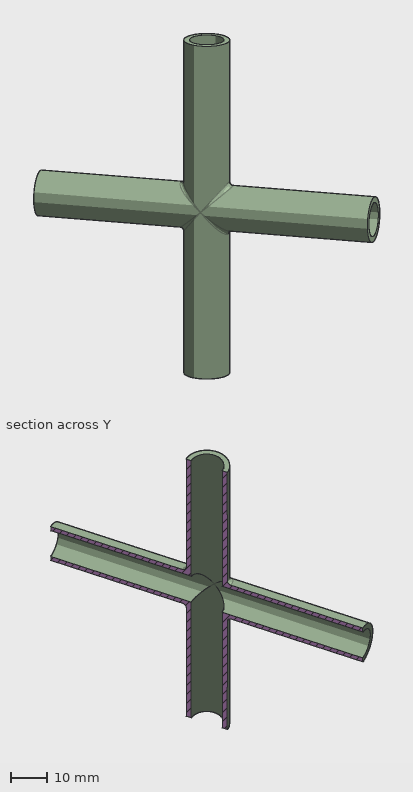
import cadquery as cq

length = 95.2
outer_diameter = 12.7
bore_diameter = 9.4
junction_fillet = 1.0

half_length = length / 2


def cross(diameter):
    """Two equal cylinders along X and Z, crossing at the origin."""
    along_x = cq.Workplane("YZ").circle(diameter / 2).extrude(half_length, both=True)
    along_z = cq.Workplane("XY").circle(diameter / 2).extrude(half_length, both=True)
    return along_x.union(along_z)


def filleted_corner():
    """The +X +Z quarter of the solid cross, with its inside corner rounded.

    The rounding tapers to nothing where the tubes touch at +Y and -Y.
    """
    quadrant = cq.Workplane("XY").box(
        length, length, length, centered=(False, True, False)
    )
    quarter = cross(outer_diameter).intersect(quadrant)
    return quarter.edges("%ELLIPSE").fillet(junction_fillet)


corner = filleted_corner()
body = corner
for angle in (90, 180, 270):
    body = body.union(corner.rotate((0, 0, 0), (0, 1, 0), angle))

result = body.cut(cross(bore_diameter)).clean()